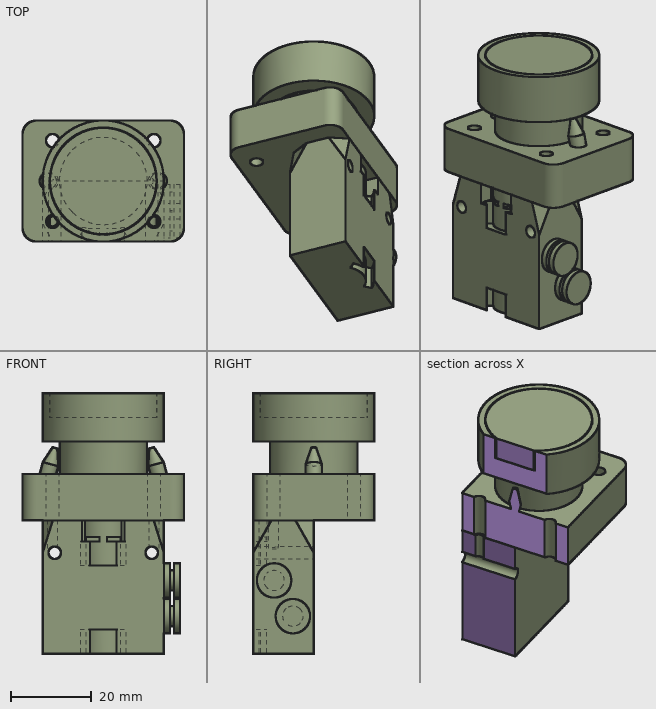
import cadquery as cq
import math

total_height = 64.5
plate_length = 40.0
plate_width = 30.0
plate_corner_radius = 3.5
head_diameter = plate_width
head_height = 12.0
neck_diameter = 21.7
neck_height = 8.0
block_height = 33.0

neck_top = total_height - head_height
plate_top = neck_top - neck_height
plate_thickness = plate_top - block_height

bore_diameter = 26.5
button_diameter = 26.3
button_height = head_height / 2

mount_hole_diameter = 3.2
mount_hole_x = 12.5
mount_hole_y = 10.0

pin_diameter = 4.0
pin_tip_diameter = 1.2
pin_shank = 2.5
pin_cone = 4.2
pin_lean = 15.0
pin_foot_x = 13.7
pin_root = 1.95

block_width = 30.0
block_depth = plate_width / 2
block_front = -block_depth
block_mid_y = -block_depth / 2

bevel_x = 2.5
bevel_y = 4.5
bevel_z = 8.0

cross_hole_diameter = 3.0
cross_hole_x = 12.0
cross_hole_z = 25.0
screw_bore_diameter = 2.45
screw_bore_depth = 7.0

core_radius = 6.0
recess_radius = 8.0
recess_half_angle = 45.0
window_width = 6.6
lower_recess_top = 6.0
upper_recess_floor = 21.85
pocket_floor = 27.85
pocket_width = 10.5
pocket_depth = 3.5

flat_depth = 3.2
flat_height = 1.1
flat_gap = 1.95

screw_diameter = 8.5
screw_neck_diameter = 5.0
screw_length = 4.0
screw_collar = 1.55
screw_groove = 0.9
screw_centres = [(-9.8, 18.2), (-5.15, 9.35)]


def cylinder(diameter, height, base, direction=(0, 0, 1)):
    """Solid cylinder that starts at the base point."""
    return cq.Workplane(cq.Solid.makeCylinder(
        diameter / 2, height, cq.Vector(*base), cq.Vector(*direction)))


def box_between(x_range, y_range, z_range):
    """Box given by its lower and upper limit on each axis."""
    size = [high - low for low, high in (x_range, y_range, z_range)]
    corner = cq.Vector(x_range[0], y_range[0], z_range[0])
    return cq.Workplane(cq.Solid.makeBox(*size, corner))


def make_pin(side):
    """Pointed pin on one side of the plate (side is +1 or -1), rooted inside the plate."""
    lean = math.radians(pin_lean)
    axis = cq.Vector(-side * math.sin(lean), 0, math.cos(lean))
    foot = cq.Vector(side * pin_foot_x, 0, plate_top)
    shank = cq.Solid.makeCylinder(
        pin_diameter / 2, pin_root + pin_shank, foot - axis * pin_root, axis)
    cone = cq.Solid.makeCone(
        pin_diameter / 2, pin_tip_diameter / 2, pin_cone, foot + axis * pin_shank, axis)
    return cq.Workplane(shank).union(cq.Workplane(cone))


def make_operator():
    plate = (
        cq.Workplane("XY", origin=(0, 0, block_height))
        .rect(plate_length, plate_width)
        .extrude(plate_thickness)
        .edges("|Z")
        .fillet(plate_corner_radius)
        .faces(">Z")
        .workplane()
        .rect(2 * mount_hole_x, 2 * mount_hole_y, forConstruction=True)
        .vertices()
        .hole(mount_hole_diameter)
    )
    neck = cylinder(neck_diameter, neck_height, (0, 0, plate_top))
    head = cylinder(head_diameter, head_height, (0, 0, neck_top))
    bore = cylinder(bore_diameter, button_height, (0, 0, total_height - button_height))
    operator = plate.union(neck).union(head).cut(bore)
    for side in (-1, 1):
        operator = operator.union(make_pin(side))
    return operator


def make_button():
    return cylinder(button_diameter, button_height, (0, 0, total_height - button_height))


def corner_cutter(side_x, side_y):
    """Block of waste outside the slanted plane at one upper corner."""
    corner_x = side_x * block_width / 2
    corner_y = block_mid_y + side_y * block_depth / 2
    slant = cq.Plane(
        origin=(corner_x, corner_y, block_height - bevel_z),
        xDir=(side_x * bevel_x, -side_y * bevel_y, 0),
        normal=(side_x / bevel_x, side_y / bevel_y, 1 / bevel_z),
    )
    waste_size = 4 * bevel_z
    return cq.Workplane(slant).rect(waste_size, waste_size).extrude(waste_size)


def ring_recess(bottom, top):
    """Sector of a ring around the core, with a window to it through the front face."""
    reach = 2 * recess_radius * math.tan(math.radians(recess_half_angle))
    height = top - bottom
    sector = (
        cq.Workplane("XY", origin=(0, block_mid_y, bottom))
        .polyline([(0, 0), (-reach, -2 * recess_radius), (reach, -2 * recess_radius)])
        .close()
        .extrude(height)
    )
    outer = cylinder(2 * recess_radius, height, (0, block_mid_y, bottom))
    core = cylinder(2 * core_radius, height, (0, block_mid_y, bottom))
    window = box_between(
        (-window_width / 2, window_width / 2), (block_front, block_mid_y), (bottom, top))
    return outer.intersect(sector).union(window).cut(core)


def front_pocket():
    """Square pocket above the upper ring recess, leaving the round core standing."""
    half_width = pocket_width / 2
    height = block_height - pocket_floor
    pocket = box_between(
        (-half_width, half_width),
        (block_front, block_front + pocket_depth),
        (pocket_floor, block_height),
    )
    return pocket.cut(cylinder(2 * core_radius, height, (0, block_mid_y, pocket_floor)))


def core_flats():
    """Cutters for the two flats, one on each side of the core's middle."""
    cutters = []
    for side in (-1, 1):
        limits = sorted((side * flat_gap / 2, side * pocket_width / 2))
        cutters.append(box_between(
            limits,
            (block_front, block_front + flat_depth),
            (pocket_floor, pocket_floor + flat_height),
        ))
    return cutters


def terminal_screw(y, z):
    """Screw of two collars joined by a thinner neck, standing on the +X face."""
    face_x = block_width / 2
    outer_x = face_x + screw_collar + screw_groove
    outer_collar = screw_length - screw_collar - screw_groove
    along_x = (1, 0, 0)
    neck = cylinder(screw_neck_diameter, screw_length, (face_x, y, z), along_x)
    inner = cylinder(screw_diameter, screw_collar, (face_x, y, z), along_x)
    outer = cylinder(screw_diameter, outer_collar, (outer_x, y, z), along_x)
    return neck.union(inner).union(outer)


def make_contact_block():
    half_width = block_width / 2
    block = box_between((-half_width, half_width), (block_front, 0), (0, block_height))
    for side_x in (-1, 1):
        for side_y in (-1, 1):
            block = block.cut(corner_cutter(side_x, side_y))

    block = block.cut(ring_recess(0, lower_recess_top))
    block = block.cut(ring_recess(upper_recess_floor, pocket_floor))
    block = block.cut(front_pocket())
    for flat in core_flats():
        block = block.cut(flat)

    for side in (-1, 1):
        cross_hole = cylinder(
            cross_hole_diameter, block_depth,
            (side * cross_hole_x, block_front, cross_hole_z), (0, 1, 0))
        screw_bore = cylinder(
            screw_bore_diameter, screw_bore_depth,
            (side * mount_hole_x, -mount_hole_y, block_height - screw_bore_depth))
        block = block.cut(cross_hole).cut(screw_bore)

    for y, z in screw_centres:
        block = block.union(terminal_screw(y, z))
    return block


operator = make_operator()
button = make_button()
contact_block = make_contact_block()

result = cq.Compound.makeCompound([operator.val(), button.val(), contact_block.val()])